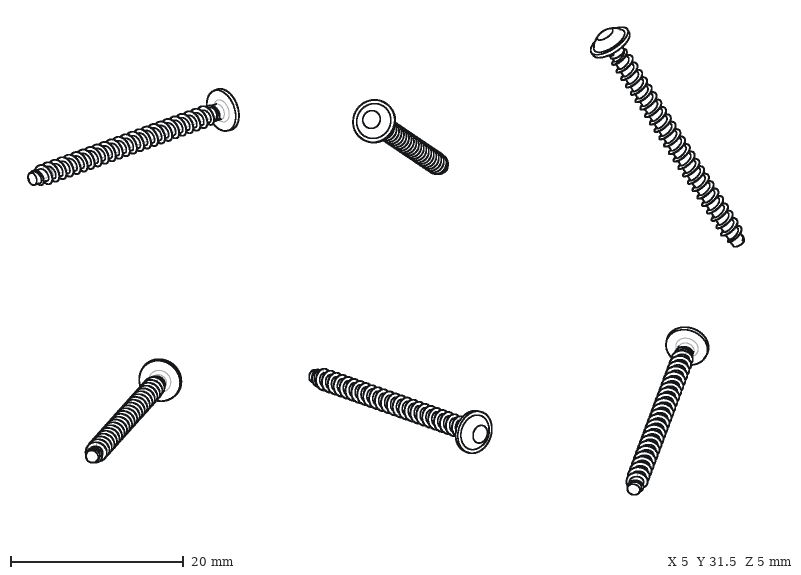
import cadquery as cq
import math


flange_radius = 2.5
flange_under_radius = 2.46
flange_thickness = 0.5
dome_height = 1.0
dome_base_radius = 2.05
dome_top_radius = 1.05
dome_bulge = 0.12

shank_length = 30.0
neck_radius = 0.92
neck_length = 1.45
neck_fillet = 0.4
core_radius = 0.82
tip_radius = 0.75
tip_taper_length = 2.5

pitch = 1.12
crest_radius = 1.25
crest_width = 0.06
flank_angle = 30.0
root_overlap = 0.03
root_radius = tip_radius - root_overlap
start_depth = 0.9
run_in_turns = 1.4
full_start_depth = start_depth + run_in_turns * pitch
end_depth = 29.8
run_out_turns = 1.35
full_end_depth = end_depth - run_out_turns * pitch
crest_phase_depth = 1.14
start_crest_radius = neck_radius
end_crest_radius = 0.78


def make_body():
    """Head and threadless shank, revolved about the depth axis."""
    dome_run = dome_base_radius - dome_top_radius
    dome_chord = math.hypot(dome_run, dome_height)
    dome_mid_radius = (dome_base_radius + dome_top_radius) / 2 + dome_bulge * dome_height / dome_chord
    dome_mid_depth = -flange_thickness - dome_height / 2 - dome_bulge * dome_run / dome_chord
    arc_offset = neck_fillet * (1 - math.sqrt(0.5))
    profile = (
        cq.Workplane("XZ")
        .moveTo(0, -flange_thickness - dome_height)
        .lineTo(dome_top_radius, -flange_thickness - dome_height)
        .threePointArc((dome_mid_radius, dome_mid_depth), (dome_base_radius, -flange_thickness))
        .lineTo(flange_radius, -flange_thickness)
        .lineTo(flange_under_radius, 0)
        .lineTo(neck_radius + neck_fillet, 0)
        .threePointArc((neck_radius + arc_offset, arc_offset), (neck_radius, neck_fillet))
        .lineTo(neck_radius, neck_length)
        .lineTo(core_radius, neck_length)
        .lineTo(core_radius, shank_length - tip_taper_length)
        .lineTo(tip_radius, shank_length)
        .lineTo(0, shank_length)
        .close()
    )
    return profile.revolve(360, (0, 0, 0), (0, 1, 0))


def helix_edge(first_depth, last_depth, first_radius, last_radius, shift):
    """One edge line of the thread ridge, moved along the axis by shift."""
    height = last_depth - first_depth
    rise = last_radius - first_radius
    if rise == 0:
        wire = cq.Wire.makeHelix(pitch, height, first_radius)
    else:
        slant = math.hypot(height, rise) / height
        cone_angle = math.degrees(math.atan2(rise, height))
        wire = cq.Wire.makeHelix(pitch * slant, height * slant, first_radius, angle=cone_angle)
    turn = 360 * (first_depth - crest_phase_depth) / pitch
    wire = wire.rotate(cq.Vector(0, 0, 0), cq.Vector(0, 0, 1), turn)
    return wire.translate(cq.Vector(0, 0, first_depth + shift)).Edges()[0]


def thread_section(first_depth, last_depth, first_crest, last_crest):
    """Solid stretch of ridge whose crest radius changes evenly along its length."""
    half_crest = crest_width / 2
    half_root = half_crest + (crest_radius - root_radius) * math.tan(math.radians(flank_angle / 2))
    span = (first_depth, last_depth)
    edges = [
        helix_edge(*span, root_radius, root_radius, -half_root),
        helix_edge(*span, first_crest, last_crest, -half_crest),
        helix_edge(*span, first_crest, last_crest, half_crest),
        helix_edge(*span, root_radius, root_radius, half_root),
    ]
    faces = [cq.Face.makeRuledSurface(edges[i - 1], edges[i]) for i in range(len(edges))]
    for end_point in (cq.Edge.startPoint, cq.Edge.endPoint):
        corners = [end_point(edge) for edge in edges]
        faces.append(cq.Face.makeFromWires(cq.Wire.makePolygon(corners, close=True)))
    return cq.Solid.makeSolid(cq.Shell.makeShell(faces))


def make_thread():
    """Right-handed ridge: run-in from the neck, full height, run-out at the tip."""
    return [
        thread_section(start_depth, full_start_depth, start_crest_radius, crest_radius),
        thread_section(full_start_depth, full_end_depth, crest_radius, crest_radius),
        thread_section(full_end_depth, end_depth, crest_radius, end_crest_radius),
    ]


screw = make_body()
for section in make_thread():
    screw = screw.union(cq.Workplane(section))

result = screw.solids().first().rotate((0, 0, 0), (1, 0, 0), 90)